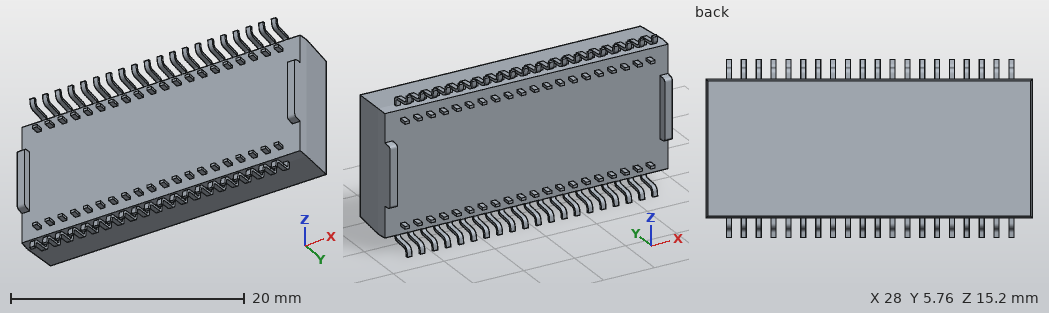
import cadquery as cq
import math

LENGTH = 27.95
HEIGHT = 11.9
BACK_Y = 4.53
PARTING_Y = 1.0
DRAFT = math.radians(3)

TAB_WIDTH = 0.85
TAB_HEIGHT = 6.04
TAB_REACH = 0.85
TAB_CENTER_Z = 0.1
TAB_END_INSET = 0.1
TAB_CORNER_RADIUS = 0.28

CONTACT_COUNT = 20
CONTACT_ROW_SPAN = 24.15
CONTACT_PITCH = CONTACT_ROW_SPAN / (CONTACT_COUNT - 1)
CONTACT_CENTER_X = -0.08
CONTACT_WIDTH = 0.45
SHEET_THICKNESS = 0.25

PIN_ROW_Z = 4.97
PIN_REACH = 0.78

LEAD_SPAN = 15.23
LEAD_TIP_Z = LEAD_SPAN / 2
LEAD_TIP_Y = -1.23
LEAD_ROOT_Z = 5.6
LEAD_ROOT_Y = 0.9
SHANK_START_Z = 6.68
SHANK_RISE = math.radians(5)
FOOT_LEAN = math.radians(8)
ROOT_BEND_INNER_RADIUS = 0.17
FOOT_BEND_INNER_RADIUS = 0.3


def draft_inset(y):
    """How far a drafted side has drawn in from the parting line at the given Y."""
    return abs(y - PARTING_Y) * math.tan(DRAFT)


def make_drafted_half(end_y):
    """One half of the housing, tapering from the parting line to a flat face at end_y."""
    inset = draft_inset(end_y)
    return (
        cq.Workplane("XZ", origin=(0, PARTING_Y, 0))
        .rect(LENGTH, HEIGHT)
        .workplane(offset=PARTING_Y - end_y)
        .rect(LENGTH - 2 * inset, HEIGHT - 2 * inset)
        .loft(ruled=True)
    )


def make_housing():
    return make_drafted_half(BACK_Y).union(make_drafted_half(0))


def make_left_tab():
    outer_x = -LENGTH / 2
    inner_x = outer_x + TAB_WIDTH
    half_base = TAB_HEIGHT / 2
    half_tip = half_base - TAB_END_INSET
    side_profile = (
        cq.Workplane("YZ", origin=(outer_x, 0, TAB_CENTER_Z))
        .polyline([
            (PARTING_Y, -half_base),
            (0, -half_base),
            (-TAB_REACH, -half_tip),
            (-TAB_REACH, half_tip),
            (0, half_base),
            (PARTING_Y, half_base),
        ])
        .close()
        .extrude(TAB_WIDTH)
        .faces("<Y").edges("|X").fillet(TAB_CORNER_RADIUS)
    )
    width_profile = (
        cq.Workplane("XY")
        .polyline([
            (outer_x, PARTING_Y),
            (outer_x + draft_inset(-TAB_REACH), -TAB_REACH),
            (inner_x, -TAB_REACH),
            (inner_x, PARTING_Y),
        ])
        .close()
        .extrude(HEIGHT / 2, both=True)
    )
    return side_profile.intersect(width_profile)


def make_pin(x):
    length = PIN_REACH + PARTING_Y
    return (
        cq.Workplane("XY")
        .box(CONTACT_WIDTH, length, SHEET_THICKNESS)
        .translate((x, PARTING_Y - length / 2, PIN_ROW_Z))
    )


def lead_center_points():
    """Centre line of the upper lead's sheet as (Y, Z) points, from the root to the tip."""
    tip_y = LEAD_TIP_Y + SHEET_THICKNESS / 2 * math.cos(FOOT_LEAN)
    tip_z = LEAD_TIP_Z - SHEET_THICKNESS / 2 * math.sin(FOOT_LEAN)
    drop = tip_z - SHANK_START_Z - (LEAD_ROOT_Y - tip_y) * math.tan(SHANK_RISE)
    foot_drop = drop / (1 - math.tan(FOOT_LEAN) * math.tan(SHANK_RISE))
    return [
        (LEAD_ROOT_Y, LEAD_ROOT_Z),
        (LEAD_ROOT_Y, SHANK_START_Z),
        (tip_y + foot_drop * math.tan(FOOT_LEAN), tip_z - foot_drop),
        (tip_y, tip_z),
    ]


def offset_path(points, directions, distance):
    """Shift an open path sideways, keeping its corners sharp."""
    normals = [(-math.sin(angle), math.cos(angle)) for angle in directions]
    before = normals[:1] + normals
    after = normals + normals[-1:]
    shifted = []
    for (y, z), (ay, az), (by, bz) in zip(points, before, after):
        stretch = distance / (1 + ay * by + az * bz)
        shifted.append((y + stretch * (ay + by), z + stretch * (az + bz)))
    return shifted


def round_corner(lead, x, corner, radius):
    return lead.edges(cq.NearestToPointSelector((x, *corner))).fillet(radius)


def make_upper_lead(x):
    points = lead_center_points()
    directions = [math.pi / 2, math.pi - SHANK_RISE, math.pi / 2 + FOOT_LEAN]
    left_side = offset_path(points, directions, SHEET_THICKNESS / 2)
    right_side = offset_path(points, directions, -SHEET_THICKNESS / 2)
    lead = (
        cq.Workplane("YZ", origin=(x - CONTACT_WIDTH / 2, 0, 0))
        .polyline(left_side + right_side[::-1])
        .close()
        .extrude(CONTACT_WIDTH)
    )
    bends = [
        (left_side[1], right_side[1], ROOT_BEND_INNER_RADIUS),
        (right_side[2], left_side[2], FOOT_BEND_INNER_RADIUS),
    ]
    for inner_corner, outer_corner, inner_radius in bends:
        lead = round_corner(lead, x, inner_corner, inner_radius)
        lead = round_corner(lead, x, outer_corner, inner_radius + SHEET_THICKNESS)
    return lead


def make_upper_contacts():
    contacts = cq.Workplane("XY")
    for index in range(CONTACT_COUNT):
        x = CONTACT_CENTER_X - CONTACT_ROW_SPAN / 2 + index * CONTACT_PITCH
        contacts = contacts.add(make_pin(x)).add(make_upper_lead(x))
    return contacts


left_tab = make_left_tab()
upper_contacts = make_upper_contacts().combine()
result = (
    make_housing()
    .union(left_tab)
    .union(left_tab.mirror("YZ"))
    .union(upper_contacts)
    .union(upper_contacts.mirror("XY"))
)